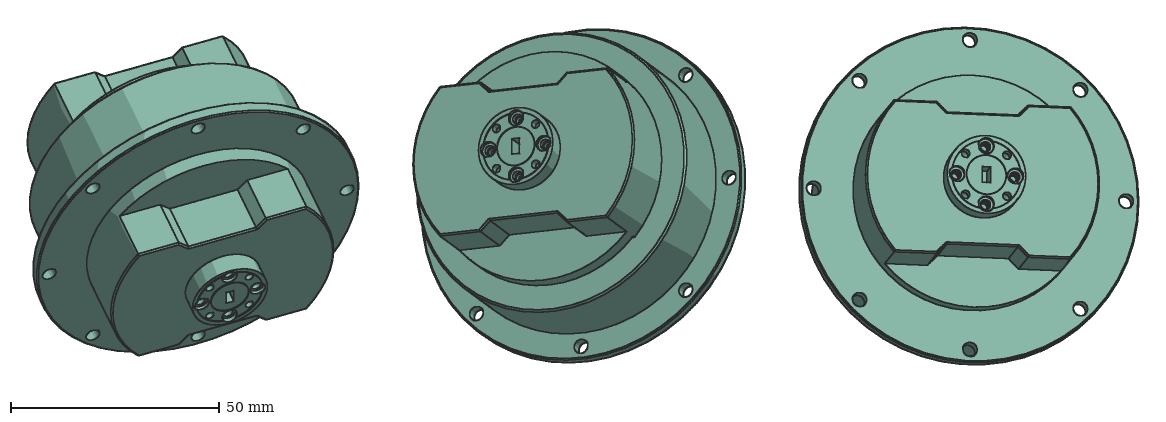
import cadquery as cq
import math


flange_diameter = 82.55
overall_length = 68.3

housing_diameter = 69.7
housing_left_x = -10.8
housing_chamfer = 0.5
flange_left_x = 9.1
flange_right_x = 12.2
flange_chamfer = 0.3
bolt_hole_diameter = 3.5
bolt_hole_count = 8
bolt_circle_diameter = 76.3

head_diameter = 57.1
head_chamfer = 0.4
flat_height = 18.7
notch_depth = 2.5
notch_floor_half_width = 8.7
shoulder_x = 16.0
shoulder_gap = 0.3
shoulder_chamfer = 0.6

port_length = 4.95
port_diameter = 19.15
recess_outer_diameter = 16.8
recess_inner_diameter = 9.65
recess_depth = 0.25
port_hole_count = 4
port_hole_circle_diameter = 14.3
screw_bore_diameter = 3.8
screw_bore_depth = 1.0
screw_hole_diameter = 2.4
screw_hole_depth = 2.5
screw_core_diameter = 1.8
screw_core_depth = 4.1
pin_hole_diameter = 2.0
pin_hole_depth = 2.5
drill_point_angle = 118.0
slot_width = 2.0
slot_height = 3.9
slot_depth = port_length

port_face_x = overall_length / 2
head_face_x = port_face_x - port_length


def disc(diameter, start_x, end_x):
    """Cylinder along X between two stations."""
    return cq.Workplane("YZ", origin=(start_x, 0, 0)).circle(diameter / 2).extrude(end_x - start_x)


def ring_of_points(diameter, count, first_angle):
    """Evenly spaced (y, z) points on a circle about the X axis."""
    radius = diameter / 2
    angles = [math.radians(first_angle + index * 360 / count) for index in range(count)]
    return [(radius * math.cos(angle), radius * math.sin(angle)) for angle in angles]


def flats_prism(start_x, end_x):
    """Block bounded by the notched flats, wide enough to span the whole head."""
    notch_height = flat_height - notch_depth
    notch_top_half_width = notch_floor_half_width + notch_depth
    top_edge = [
        (-head_diameter, flat_height),
        (-notch_top_half_width, flat_height),
        (-notch_floor_half_width, notch_height),
        (notch_floor_half_width, notch_height),
        (notch_top_half_width, flat_height),
        (head_diameter, flat_height),
    ]
    bottom_edge = [(y, -z) for y, z in reversed(top_edge)]
    outline = cq.Workplane("YZ", origin=(start_x, 0, 0)).polyline(top_edge + bottom_edge).close()
    return outline.extrude(end_x - start_x)


def trimmed_head(inner_x):
    """Flatted head on the +X side, from inner_x out to the head face."""
    head = disc(head_diameter, inner_x, head_face_x).intersect(flats_prism(inner_x, head_face_x))
    return head.faces(">X").chamfer(head_chamfer)


def screw_hole_cutter():
    """Stepped screw hole, drilled from the port face in -X."""
    recess_x = port_face_x - recess_depth
    cutter = disc(screw_bore_diameter, recess_x - screw_bore_depth, port_face_x)
    cutter = cutter.union(disc(screw_hole_diameter, recess_x - screw_hole_depth, port_face_x))
    return cutter.union(disc(screw_core_diameter, recess_x - screw_core_depth, port_face_x))


def pin_hole_cutter():
    """Pin hole with a conical drill point, drilled from the port face in -X."""
    radius = pin_hole_diameter / 2
    shoulder = port_face_x - recess_depth - pin_hole_depth
    point = shoulder - radius / math.tan(math.radians(drill_point_angle / 2))
    half_section = [(point, 0), (shoulder, radius), (port_face_x, radius), (port_face_x, 0)]
    return cq.Workplane("XY").polyline(half_section).close().revolve(360, (0, 0, 0), (1, 0, 0))


def port():
    """Port on the +X side with its face recess, holes and central slot."""
    body = disc(port_diameter, head_face_x, port_face_x)

    recess_x = port_face_x - recess_depth
    recess = disc(recess_outer_diameter, recess_x, port_face_x)
    body = body.cut(recess.cut(disc(recess_inner_diameter, recess_x, port_face_x)))

    for cutter, first_angle in ((screw_hole_cutter(), 0), (pin_hole_cutter(), 45)):
        for y, z in ring_of_points(port_hole_circle_diameter, port_hole_count, first_angle):
            body = body.cut(cutter.translate((0, y, z)))

    slot_start = cq.Workplane("YZ", origin=(port_face_x, 0, 0))
    return body.cut(slot_start.rect(slot_width, slot_height).extrude(-slot_depth))


def left_head():
    """Head on the -X side; its shoulder stands just clear of the housing."""
    shoulder = disc(head_diameter, -shoulder_x, housing_left_x - shoulder_gap)
    shoulder = shoulder.faces(">X").chamfer(shoulder_chamfer)
    inner_cylinder = disc(head_diameter, -shoulder_x, housing_left_x)
    flatted_core = inner_cylinder.intersect(flats_prism(-shoulder_x, housing_left_x))
    outer_part = trimmed_head(shoulder_x).mirror("YZ")
    return outer_part.union(shoulder).union(flatted_core)


def right_head():
    """Head on the +X side; its full round shoulder sits against the flange."""
    return trimmed_head(shoulder_x).union(disc(head_diameter, flange_right_x, shoulder_x))


def housing():
    """Drum with its bolted mounting flange."""
    drum = disc(housing_diameter, housing_left_x, flange_left_x).faces("<X").chamfer(housing_chamfer)
    flange = disc(flange_diameter, flange_left_x, flange_right_x)
    flange = flange.faces("<X or >X").chamfer(flange_chamfer)
    holes = (
        cq.Workplane("YZ", origin=(flange_left_x, 0, 0))
        .pushPoints(ring_of_points(bolt_circle_diameter, bolt_hole_count, 0))
        .circle(bolt_hole_diameter / 2)
        .extrude(flange_right_x - flange_left_x)
    )
    return drum.union(flange.cut(holes))


right_port = port()
left_port = right_port.mirror("YZ")
result = housing().union(left_head()).union(right_head()).union(left_port).union(right_port)